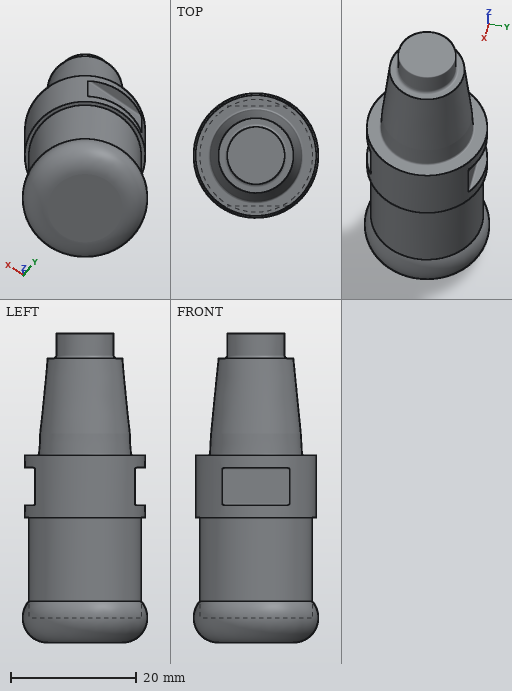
import cadquery as cq

total_height = 49.5
collar_bottom = 20.0
collar_height = 10.0
collar_top = collar_bottom + collar_height
taper_bottom = 33.5
taper_top = 45.5

sleeve_radius = 18.04 / 2
collar_radius = 19.3 / 2
pin_radius = 9.2 / 2
taper_top_radius = 6.0
taper_bottom_radius = 7.2
skirt_bottom_radius = 7.4

collar_root_fillet = 0.3
pin_root_fillet = 0.5
pin_edge_fillet = 0.15

flat_distance = 8.0
flat_height = 6.0
flat_corner_radius = 0.3
flat_depth = 4.0

rim_radius = 4.0
cap_face_radius = 6.0
cap_seat = rim_radius
cap_radius = cap_face_radius + rim_radius
rim_top = rim_radius + (rim_radius**2 - (sleeve_radius - cap_face_radius) ** 2) ** 0.5


def revolve_about_z(profile):
    """Close a profile drawn in the XZ plane and turn it fully about the Z axis."""
    return profile.close().revolve(360, (0, 0, 0), (0, 1, 0))


def root_edge(height, radius):
    """Select the circular edge of the given radius at the given height."""
    margin = 0.01
    reach = radius + margin
    return cq.selectors.BoxSelector(
        (-reach, -reach, height - margin), (reach, reach, height + margin), boundingbox=True
    )


def wrench_flat(side):
    """Block removed for one wrench flat; side is -1 for -Y and +1 for +Y."""
    return (
        cq.Workplane("XY")
        .box(2 * collar_radius, flat_depth, flat_height)
        .edges("|X")
        .fillet(flat_corner_radius)
        .translate((0, side * (flat_distance + flat_depth / 2), collar_bottom + collar_height / 2))
    )


def make_housing():
    """Sleeve, collar, tapered neck and pin, with the two wrench flats."""
    housing = revolve_about_z(
        cq.Workplane("XZ")
        .moveTo(0, cap_seat)
        .lineTo(sleeve_radius, cap_seat)
        .lineTo(sleeve_radius, collar_bottom)
        .lineTo(collar_radius, collar_bottom)
        .lineTo(collar_radius, collar_top)
        .lineTo(skirt_bottom_radius, collar_top)
        .lineTo(taper_bottom_radius, taper_bottom)
        .lineTo(taper_top_radius, taper_top)
        .lineTo(pin_radius, taper_top)
        .lineTo(pin_radius, total_height)
        .lineTo(0, total_height)
    )
    housing = housing.edges(root_edge(collar_top, skirt_bottom_radius)).fillet(collar_root_fillet)
    housing = housing.edges(root_edge(taper_top, pin_radius)).fillet(pin_root_fillet)
    housing = housing.faces(">Z").edges().fillet(pin_edge_fillet)
    for side in (-1, 1):
        housing = housing.cut(wrench_flat(side))
    return housing


def make_end_cap():
    """Round-rimmed cap whose recess holds the lower end of the sleeve."""
    return revolve_about_z(
        cq.Workplane("XZ")
        .lineTo(cap_face_radius, 0)
        .threePointArc((cap_radius, rim_radius), (sleeve_radius, rim_top))
        .lineTo(sleeve_radius, cap_seat)
        .lineTo(0, cap_seat)
    )


housing = make_housing()
end_cap = make_end_cap()
result = cq.Compound.makeCompound([housing.val(), end_cap.val()])